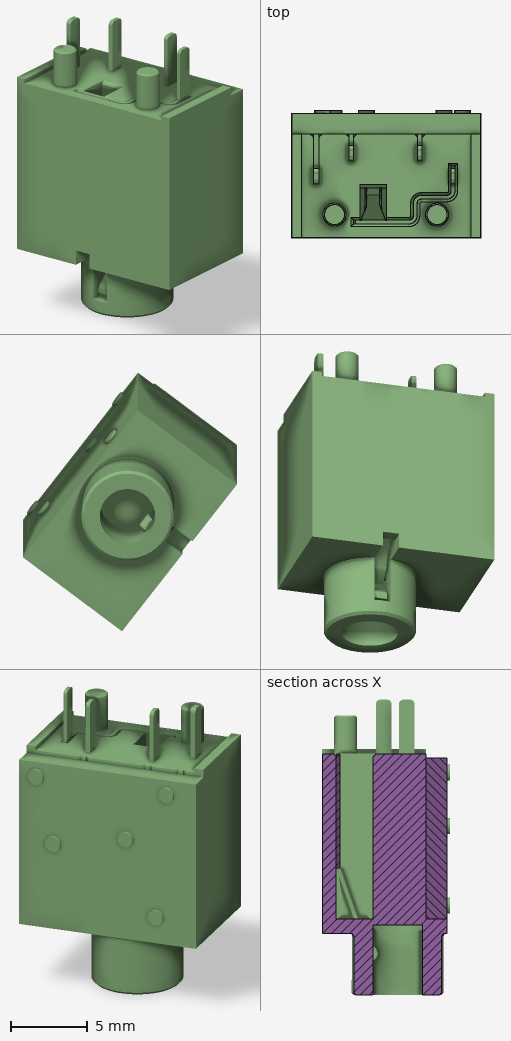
import cadquery as cq
import math


width = 12.3
housing_depth = 6.75
total_depth = 8.1
base_z = 4.0
base_thickness = 1.0
rim_z = 16.0
floor_z = 15.7
rim_width = 0.63
ledge_z = base_z + base_thickness

nose_x = -0.85
nose_y = 4.9
nose_radius = 3.0
nose_chamfer = 0.17
collar_flare = 0.08
collar_height = 0.15
bore_radius = 1.8
bore_top_z = 4.55

peg_diameter = 1.5
peg_top_z = 18.16
peg_chamfer = 0.1
peg_y = 1.52
peg_left_x = -3.36
peg_right_x = 3.3

window_width = 1.7
window_back_y = 3.26
window_chamfer = 0.21
slot_width = 1.1
slot_floor_z = 0.98
slot_step_y = 2.6
slot_step_z = 1.2
slot_slope = 0.46

pin_top_z = 19.2
pin_width = 1.02
pin_tip_radius = 0.29
near_pin_y = 3.5
far_pin_y = 5.0
leg_height = 1.0
leg_mouth = 0.21
cover_pins = [
    (-4.55, 0.35, near_pin_y),
    (-2.27, 0.29, far_pin_y),
    (2.19, 0.29, far_pin_y),
]

cover_top_z = 15.45
stud_diameter = 1.04
stud_height = 0.2
stud_places = [(-4.13, 14.45), (-3.38, 5.82), (-1.29, 10.98), (3.76, 9.95), (4.95, 14.45)]

contact_thickness = 0.25
contact_bottom_z = 8.25
contact_lead_in = 0.17
contact_bend_radius = 0.4
contact_front_y = 1.04
contact_jog_y = 2.65
contact_left_x = -2.0
contact_end_gap = 0.12
contact_jog_x = 1.88
contact_pin_x = 4.34
contact_end_y = 4.67
tongue_root_width = 1.6
tongue_tip_width = 0.85
tongue_taper_top_z = contact_bottom_z
tongue_taper_bottom_z = 5.45
tongue_path = [
    (contact_front_y, contact_bottom_z),
    (2.67, 3.63),
    (3.67, 2.69),
    (2.45, 1.73),
    (2.45, 1.35),
]
tongue_bend_radius = 0.38


def box(x_min, x_max, y_min, y_max, z_min, z_max):
    """Box given by its limits along each axis."""
    return cq.Workplane("XY").box(
        x_max - x_min, y_max - y_min, z_max - z_min, centered=False
    ).translate((x_min, y_min, z_min))


def cylinder(x, y, z, radius, height):
    """Upright cylinder standing on height z."""
    return cq.Workplane("XY", origin=(x, y, z)).circle(radius).extrude(height)


def pin_blade(x, thickness, y_min, z_min):
    """Flat solder pin with rounded tip corners."""
    blade = box(x - thickness / 2, x + thickness / 2, y_min, y_min + pin_width, z_min, pin_top_z)
    return blade.faces(">Z").edges("|X").fillet(pin_tip_radius)


def rounded_path(points, radius):
    """Open wire through the points with its inner corners rounded."""
    wire = cq.Wire.makePolygon([cq.Vector(*point) for point in points])
    return wire.fillet(radius, wire.Vertices()[1:-1])


def contact_strip(left_x):
    """Upright strip that zigzags across the housing top from left_x to the right-hand pin."""
    points = [
        (left_x, contact_front_y),
        (contact_jog_x, contact_front_y),
        (contact_jog_x, contact_jog_y),
        (contact_pin_x, contact_jog_y),
        (contact_pin_x, contact_end_y),
    ]
    path = rounded_path([(x, y, contact_bottom_z) for x, y in points], contact_bend_radius)
    start = cq.Plane(
        origin=(left_x, contact_front_y, contact_bottom_z), xDir=(0, 1, 0), normal=(1, 0, 0)
    )
    height = floor_z - contact_bottom_z
    return (
        cq.Workplane(start)
        .center(0, height / 2)
        .rect(contact_thickness, height)
        .sweep(cq.Workplane(path))
    )


def contact_tongue():
    """Spring tongue: bent in the YZ plane and tapered in width."""
    path = rounded_path([(nose_x, y, z) for y, z in tongue_path], tongue_bend_radius)
    root = cq.Plane(
        origin=path.startPoint().toTuple(), xDir=(1, 0, 0), normal=path.tangentAt(0).toTuple()
    )
    ribbon = cq.Workplane(root).rect(tongue_root_width, contact_thickness).sweep(cq.Workplane(path))
    root_half = tongue_root_width / 2
    tip_half = tongue_tip_width / 2
    top_z = contact_bottom_z + contact_thickness
    half_outline = [
        (root_half, top_z),
        (root_half, tongue_taper_top_z),
        (tip_half, tongue_taper_bottom_z),
        (tip_half, 0),
    ]
    mirrored = [(-x, z) for x, z in reversed(half_outline)]
    outline = (
        cq.Workplane("XZ")
        .center(nose_x, 0)
        .polyline(half_outline + mirrored)
        .close()
        .extrude(-housing_depth)
    )
    return ribbon.intersect(outline)


def make_contact():
    strip = contact_strip(contact_left_x)
    pin = pin_blade(contact_pin_x, contact_thickness, near_pin_y, floor_z - leg_height)
    return strip.union(contact_tongue()).union(pin)


def cover_leg(x, thickness, pin_y):
    """Bar lying flush in the housing top, from the cover to its pin."""
    return box(
        x - thickness / 2, x + thickness / 2, pin_y, housing_depth, floor_z - leg_height, floor_z
    )


def cover_stud(x, z):
    plane = cq.Plane(origin=(x, total_depth, z), xDir=(-1, 0, 0), normal=(0, 1, 0))
    return cq.Workplane(plane).circle(stud_diameter / 2).extrude(stud_height)


def make_cover():
    cover = box(-width / 2, width / 2, housing_depth, total_depth, ledge_z, cover_top_z)
    for x, thickness, pin_y in cover_pins:
        cover = cover.union(cover_leg(x, thickness, pin_y))
        cover = cover.union(pin_blade(x, thickness, pin_y, floor_z - leg_height))
    for x, z in stud_places:
        cover = cover.union(cover_stud(x, z))
    return cover


def housing_block():
    """Block with side rims and a back ledge that carries the cover."""
    block = box(-width / 2, width / 2, 0, housing_depth, base_z, rim_z)
    inner_half = width / 2 - rim_width
    block = block.cut(box(-inner_half, inner_half, 0, housing_depth, floor_z, rim_z))
    ledge = box(-width / 2, width / 2, housing_depth, total_depth, base_z, ledge_z)
    return block.union(ledge)


def nose():
    """Barrel chamfered at its tip, with a small flare where it meets the block."""
    barrel = cylinder(nose_x, nose_y, 0, nose_radius, base_z).faces("<Z").chamfer(nose_chamfer)
    taper = -math.degrees(math.atan(collar_flare / collar_height))
    collar = (
        cq.Workplane("XY", origin=(nose_x, nose_y, base_z - collar_height))
        .circle(nose_radius)
        .extrude(collar_height, taper=taper)
    )
    return barrel.union(collar)


def peg(x):
    shaft = cylinder(x, peg_y, floor_z, peg_diameter / 2, peg_top_z - floor_z)
    return shaft.faces(">Z").chamfer(peg_chamfer)


def leg_groove(x, thickness, pin_y):
    """Groove filled by a cover leg, with a flared mouth at the seam."""
    mouth_half = thickness / 2 + leg_mouth
    throat_y = housing_depth - leg_mouth
    mouth = (
        cq.Workplane("XY", origin=(x, 0, floor_z - leg_height))
        .polyline([
            (-mouth_half, housing_depth),
            (mouth_half, housing_depth),
            (thickness / 2, throat_y),
            (-thickness / 2, throat_y),
        ])
        .close()
        .extrude(leg_height)
    )
    return cover_leg(x, thickness, pin_y).union(mouth)


def spring_window():
    """Opening in the top that gives the tongue room to flex."""
    half = window_width / 2
    front_y = contact_front_y - contact_thickness / 2
    profile = [
        (front_y, ledge_z),
        (window_back_y, ledge_z),
        (window_back_y, floor_z - window_chamfer),
        (window_back_y + window_chamfer, floor_z),
        (front_y, floor_z),
    ]
    return (
        cq.Workplane("YZ", origin=(nose_x - half, 0, 0)).polyline(profile).close().extrude(window_width)
    )


def contact_slot():
    """Slot through the front into the bore, with a stepped and sloped floor."""
    profile = [
        (0, slot_floor_z),
        (slot_step_y, slot_floor_z),
        (slot_step_y, slot_step_z),
        (slot_step_y + slot_slope, slot_step_z + slot_slope),
        (window_back_y, slot_step_z + slot_slope),
        (window_back_y, ledge_z),
        (0, ledge_z),
    ]
    return (
        cq.Workplane("YZ", origin=(nose_x - slot_width / 2, 0, 0))
        .polyline(profile).close().extrude(slot_width)
    )


def contact_lead_in_cut(groove):
    """Chamfer around the mouth of the contact groove."""
    mouth = groove.faces(">Z").wires().val().offset2D(contact_lead_in, "intersection")[0]
    top = cq.Workplane("XY", origin=(0, 0, floor_z))
    return top.add(mouth).toPending().extrude(-contact_lead_in, taper=45)


def make_housing():
    groove = contact_strip(contact_left_x - contact_end_gap)
    housing = housing_block().union(nose())
    for x in (peg_left_x, peg_right_x):
        housing = housing.union(peg(x))
    housing = housing.cut(cylinder(nose_x, nose_y, 0, bore_radius, bore_top_z))
    housing = housing.cut(contact_slot()).cut(spring_window())
    housing = housing.cut(groove).cut(contact_lead_in_cut(groove))
    for x, thickness, pin_y in cover_pins:
        housing = housing.cut(leg_groove(x, thickness, pin_y))
    return housing


housing = make_housing()
cover = make_cover()
contact = make_contact()
result = cq.Compound.makeCompound([housing.val(), cover.val(), contact.val()])